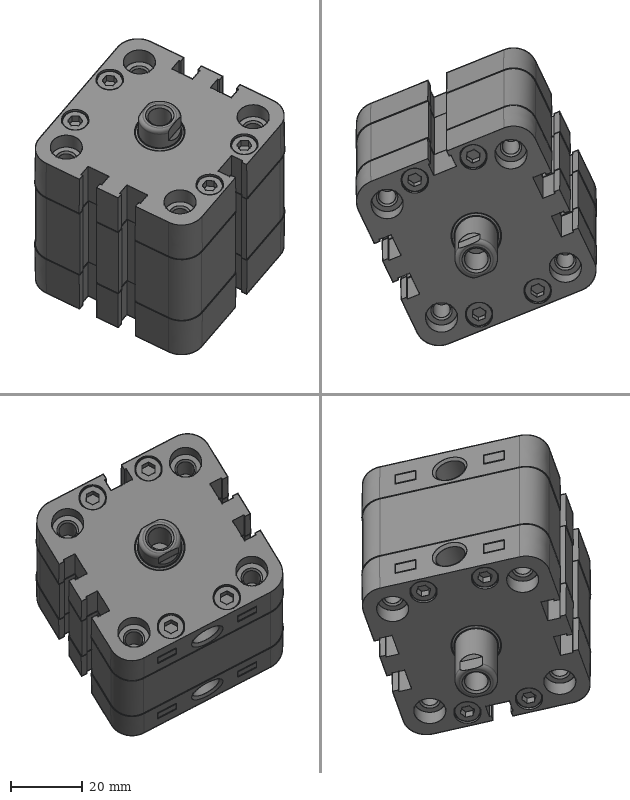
import cadquery as cq
import math

BARREL_HEIGHT = 26.0
COVER_HEIGHT = 14.5
ROD_LENGTH = 79.0
ROD_TOP_REACH = 7.0
JOINT_Z = BARREL_HEIGHT / 2
COVER_END_Z = JOINT_Z + COVER_HEIGHT
ROD_TOP_Z = COVER_END_Z + ROD_TOP_REACH

COVER_WIDTH = 54.8
COVER_CORNER_RADIUS = 6.95
COVER_DRAFT = 0.7
BARREL_WIDTH = 54.35
BARREL_CORNER_RADIUS = 6.7

SLOT_OFFSET = 6.5
SLOT_FLOOR = 21.8
SLOT_LIP = 25.5
BARREL_SLOT_MOUTH = 5.5
BARREL_SLOT_WIDTH = 6.55
COVER_SLOT_MOUTH = 5.8
COVER_SLOT_WIDTH = 6.95

ROD_DIAMETER = 12.0
ROD_FLATS = 10.0
ROD_FLAT_LENGTH = 4.5
ROD_END_FILLET = 1.3
ROD_THREAD_DIAMETER = 6.6
ROD_THREAD_MOUTH = 8.0
ROD_THREAD_DEPTH = 12.0

MOUNT_OFFSET = 19.0
MOUNT_BORE_DIAMETER = 9.0
MOUNT_BORE_DEPTH = 5.05
MOUNT_THREAD_DIAMETER = 4.9
MOUNT_THREAD_MOUTH = 6.0

SCREW_X = 22.5
SCREW_Y = 9.0
SCREW_RECESS_DIAMETER = 7.7
SCREW_HEAD_DIAMETER = 7.2
SCREW_HEAD_DROP = 0.5
SCREW_GAP_DEPTH = 0.95
SOCKET_FLATS = 3.6
SOCKET_DEPTH = 2.4

WIPER_OUTER_DIAMETER = 14.2
WIPER_ROOT_OUTER_DIAMETER = 14.0
WIPER_ROOT_INNER_DIAMETER = 13.7
WIPER_INNER_DIAMETER = 12.6
WIPER_DEPTH = 0.3

PORT_DROP = 8.05
PORT_DIAMETER = 8.5
PORT_MOUTH = 10.3
PORT_FLOOR_DIAMETER = 40.0
LABEL_OFFSET = 12.95
LABEL_LENGTH = 6.0
LABEL_HEIGHT = 3.95
LABEL_DEPTH = 0.2

CUT_MARGIN = 3.95


def cylinder(diameter, bottom_z, top_z):
    return cq.Workplane("XY").workplane(offset=bottom_z).circle(diameter / 2).extrude(top_z - bottom_z)


def countersink(inner_diameter, outer_diameter, top_z):
    """45 degree cone about Z that opens a hole at height top_z."""
    depth = (outer_diameter - inner_diameter) / 2
    cone = cq.Solid.makeCone(inner_diameter / 2, outer_diameter / 2, depth, cq.Vector(0, 0, top_z - depth))
    return cq.Workplane(cone)


def rounded_block(width, corner_radius, bottom_z, height, draft=0.0):
    sketch = cq.Sketch().rect(width, width).vertices().fillet(corner_radius)
    return cq.Workplane("XY").workplane(offset=bottom_z).placeSketch(sketch).extrude(height, taper=draft)


def t_slots(mouth, width, bottom_z, height):
    """Cutters for the five T-slots."""
    outside = COVER_WIDTH / 2 + CUT_MARGIN

    def channel(slot_width, end):
        depth = end - SLOT_FLOOR
        plan = cq.Workplane("XY").workplane(offset=bottom_z).center(SLOT_FLOOR + depth / 2, 0)
        return plan.rect(depth, slot_width).extrude(height)

    slot = channel(mouth, outside).union(channel(width, SLOT_LIP))
    cutters = slot
    for side_angle in (90, -90):
        turned = slot.rotate((0, 0, 0), (0, 0, 1), side_angle)
        for x in (-SLOT_OFFSET, SLOT_OFFSET):
            cutters = cutters.union(turned.translate((x, 0, 0)))
    return cutters


def mount_hole():
    floor_z = COVER_END_Z - MOUNT_BORE_DEPTH
    bore = cylinder(MOUNT_BORE_DIAMETER, floor_z, COVER_END_Z)
    thread = cylinder(MOUNT_THREAD_DIAMETER, JOINT_Z, floor_z)
    return bore.union(thread).union(countersink(MOUNT_THREAD_DIAMETER, MOUNT_THREAD_MOUTH, floor_z))


def screw_recess():
    """Recess around a sunken screw head, with the hexagon socket in the head."""
    head_z = COVER_END_Z - SCREW_HEAD_DROP
    recess = cylinder(SCREW_RECESS_DIAMETER, COVER_END_Z - SCREW_GAP_DEPTH, COVER_END_Z)
    head = cylinder(SCREW_HEAD_DIAMETER, COVER_END_Z - SCREW_GAP_DEPTH, head_z)
    corner_diameter = SOCKET_FLATS / math.cos(math.pi / 6)
    socket = cq.Workplane("XY").workplane(offset=head_z).polygon(6, corner_diameter).extrude(-SOCKET_DEPTH)
    socket = socket.rotate((0, 0, 0), (0, 0, 1), 30)
    return recess.cut(head).union(socket)


def wiper_groove():
    """Shallow ring groove just outside the rod."""
    section = [
        (WIPER_INNER_DIAMETER / 2, COVER_END_Z),
        (WIPER_ROOT_INNER_DIAMETER / 2, COVER_END_Z - WIPER_DEPTH),
        (WIPER_ROOT_OUTER_DIAMETER / 2, COVER_END_Z - WIPER_DEPTH),
        (WIPER_OUTER_DIAMETER / 2, COVER_END_Z),
    ]
    return cq.Workplane("XZ").polyline(section).close().revolve(360, (0, 0, 0), (0, 1, 0))


def air_port():
    """Countersunk radial hole from the -X side, ending on a cylinder about the rod axis."""
    face = COVER_WIDTH / 2
    mouth_depth = (PORT_MOUTH - PORT_DIAMETER) / 2
    section = [
        (0, 0),
        (0, face),
        (PORT_MOUTH / 2, face),
        (PORT_DIAMETER / 2, face - mouth_depth),
        (PORT_DIAMETER / 2, 0),
    ]
    drill = cq.Workplane("XZ").polyline(section).close().revolve(360, (0, 0, 0), (0, 1, 0))
    drill = drill.rotate((0, 0, 0), (0, 1, 0), -90).translate((0, 0, COVER_END_Z - PORT_DROP))
    return drill.cut(cylinder(PORT_FLOOR_DIAMETER, 0, ROD_TOP_Z))


def label_pockets():
    middle_z = JOINT_Z + COVER_HEIGHT / 2
    face = COVER_WIDTH / 2 - COVER_HEIGHT / 2 * math.tan(math.radians(COVER_DRAFT))
    plane = cq.Workplane("YZ").workplane(offset=LABEL_DEPTH - face)
    spots = [(-LABEL_OFFSET, middle_z), (LABEL_OFFSET, middle_z)]
    return plane.pushPoints(spots).rect(LABEL_LENGTH, LABEL_HEIGHT).extrude(-CUT_MARGIN)


def make_cover():
    """Top cover."""
    cover = rounded_block(COVER_WIDTH, COVER_CORNER_RADIUS, JOINT_Z, COVER_HEIGHT, COVER_DRAFT)
    cover = cover.cut(t_slots(COVER_SLOT_MOUTH, COVER_SLOT_WIDTH, JOINT_Z, COVER_HEIGHT))
    cover = cover.cut(cylinder(ROD_DIAMETER, JOINT_Z, COVER_END_Z))
    cover = cover.cut(wiper_groove()).cut(air_port()).cut(label_pockets())
    hole = mount_hole()
    recess = screw_recess()
    for side_x in (-1, 1):
        for side_y in (-1, 1):
            cover = cover.cut(hole.translate((side_x * MOUNT_OFFSET, side_y * MOUNT_OFFSET, 0)))
            cover = cover.cut(recess.translate((side_x * SCREW_X, side_y * SCREW_Y, 0)))
    return cover


def make_barrel():
    barrel = rounded_block(BARREL_WIDTH, BARREL_CORNER_RADIUS, -JOINT_Z, BARREL_HEIGHT)
    barrel = barrel.cut(t_slots(BARREL_SLOT_MOUTH, BARREL_SLOT_WIDTH, -JOINT_Z, BARREL_HEIGHT))
    return barrel.cut(cylinder(ROD_DIAMETER, -JOINT_Z, JOINT_Z))


def rod_end_cutters(top_z):
    """Wrench flats with 45 degree run-outs, and the countersunk threaded hole."""
    half_flats = ROD_FLATS / 2
    flat_end_z = top_z - ROD_FLAT_LENGTH
    section = [
        (half_flats, top_z),
        (half_flats, flat_end_z),
        (half_flats + CUT_MARGIN, flat_end_z - CUT_MARGIN),
        (half_flats + CUT_MARGIN, top_z),
    ]
    flat = cq.Workplane("XZ").polyline(section).close().extrude(ROD_DIAMETER / 2, both=True)
    thread = cylinder(ROD_THREAD_DIAMETER, top_z - ROD_THREAD_DEPTH, top_z)
    mouth = countersink(ROD_THREAD_DIAMETER, ROD_THREAD_MOUTH, top_z)
    return flat.union(flat.mirror("YZ")).union(thread).union(mouth)


def make_rod():
    bottom_z = ROD_TOP_Z - ROD_LENGTH
    rod = cylinder(ROD_DIAMETER, bottom_z, ROD_TOP_Z)
    rod = rod.faces("<Z or >Z").edges().fillet(ROD_END_FILLET)
    rod = rod.cut(rod_end_cutters(ROD_TOP_Z))
    return rod.cut(rod_end_cutters(-bottom_z).mirror("XY"))


top_cover = make_cover()
bottom_cover = top_cover.rotate((0, 0, 0), (1, 0, 0), 180)
barrel = make_barrel()
piston_rod = make_rod()

result = cq.Compound.makeCompound([
    top_cover.val(),
    bottom_cover.val(),
    barrel.val(),
    piston_rod.val(),
])